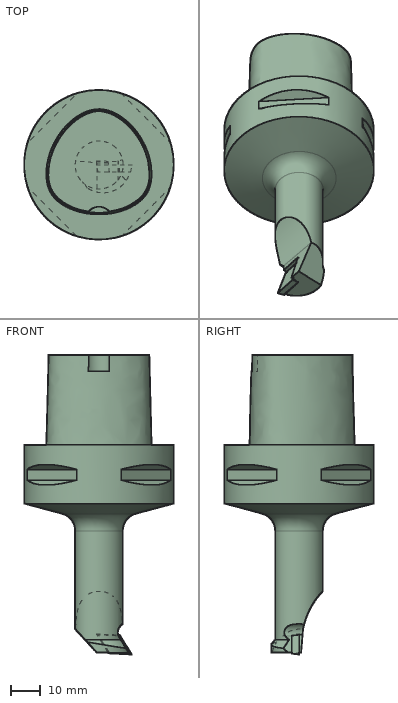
import cadquery as cq
import math

FLANGE_RADIUS = 25.0
FLANGE_HEIGHT = 19.6
CONE_ANGLE = 15.0

SHANK_HEIGHT = 30.0
SHANK_BASE_WIDTH = 35.2
SHANK_TAPER = 1 / 20
LOBE_HEIGHT = 1.0
OUTLINE_POINTS = 48

NOTCH_RADIUS = 4.4
NOTCH_DEPTH = 5.5
NOTCH_INNER_Y = -14.0

GROOVE_COUNT = 4
FIRST_GROOVE_ANGLE = 45.0
GROOVE_FLOOR_DISTANCE = 22.1
GROOVE_FLOOR_HEIGHT = 3.5
GROOVE_WALL_ANGLE = 30.0
GROOVE_Z = -10.0

NECK_RADIUS = 8.0
NECK_FILLET = 5.8

FLARE_TOP_Z = -65.0
HEAD_BOTTOM_Z = -69.3
HEAD_RADIUS = 9.3
HEAD_OFFSET_X = 1.3
FLARE_SLOPE = 1.2

TIP_X = 11.0
TIP_Z = -70.0
INSERT_SIDE = 7.8
INSERT_THICKNESS = 2.4
INSERT_TIP_ANGLE = 55.0
INSERT_LEAD_ANGLE = 3.0
INSERT_RELIEF = 7.0

RAKE_START = (8.0, -48.8)
RAKE_MIDDLE = (4.0, -54.2)
RAKE_ARC_END = (1.4, -61.3)
RAKE_BOTTOM_Y = 0.6

BACK_TOP = (-NECK_RADIUS, -61.4)
BACK_BOTTOM_X = 0.8

HOLLOW_TOP = (8.1, -59.7)
HOLLOW_MIDDLE = (6.4, -62.0)
HOLLOW_END = (6.5, -63.7)
EDGE_BOTTOM_X = 10.9

CUT_BOTTOM_Z = TIP_Z - 1.0
CUT_REACH = 30.0


def shank_outline(width):
    """Points of a constant-width, three-lobed outline with one lobe toward +Y."""
    points = []
    for i in range(OUTLINE_POINTS):
        angle = 2 * math.pi * i / OUTLINE_POINTS
        lobe_angle = 3 * (angle - math.pi / 2)
        distance = width / 2 + LOBE_HEIGHT * math.cos(lobe_angle)
        slope = -3 * LOBE_HEIGHT * math.sin(lobe_angle)
        x = distance * math.cos(angle) - slope * math.sin(angle)
        y = distance * math.sin(angle) + slope * math.cos(angle)
        points.append((x, y))
    return points


def make_shank():
    top_width = SHANK_BASE_WIDTH - SHANK_TAPER * SHANK_HEIGHT
    shank = (
        cq.Workplane("XY")
        .spline(shank_outline(SHANK_BASE_WIDTH), periodic=True)
        .close()
        .workplane(offset=SHANK_HEIGHT)
        .spline(shank_outline(top_width), periodic=True)
        .close()
        .loft(ruled=True)
    )
    notch = (
        cq.Workplane("XY", origin=(0, NOTCH_INNER_Y - NOTCH_RADIUS, SHANK_HEIGHT))
        .circle(NOTCH_RADIUS)
        .extrude(-NOTCH_DEPTH)
    )
    return shank.cut(notch)


def make_flange_and_neck():
    """Flange, cone, neck fillet and neck as one turned profile."""
    cone_slope = math.radians(CONE_ANGLE)
    cone_end_z = -FLANGE_HEIGHT - (FLANGE_RADIUS - NECK_RADIUS) * math.tan(cone_slope)
    tangent_length = NECK_FILLET * math.tan((math.pi / 2 - cone_slope) / 2)
    fillet_bottom_z = cone_end_z - tangent_length
    fillet_top = (
        NECK_RADIUS + tangent_length * math.cos(cone_slope),
        cone_end_z + tangent_length * math.sin(cone_slope),
    )
    middle_angle = (math.pi / 2 - cone_slope) / 2
    fillet_middle = (
        NECK_RADIUS + NECK_FILLET * (1 - math.cos(middle_angle)),
        fillet_bottom_z + NECK_FILLET * math.sin(middle_angle),
    )
    return (
        cq.Workplane("XZ")
        .moveTo(0, 0)
        .lineTo(FLANGE_RADIUS, 0)
        .lineTo(FLANGE_RADIUS, -FLANGE_HEIGHT)
        .lineTo(*fillet_top)
        .threePointArc(fillet_middle, (NECK_RADIUS, fillet_bottom_z))
        .lineTo(NECK_RADIUS, FLARE_TOP_Z)
        .lineTo(0, FLARE_TOP_Z)
        .close()
        .revolve(360, (0, 0, 0), (0, 1, 0))
    )


def make_head():
    """Cone that widens downward, trimmed by the eccentric cylinder."""
    head_height = FLARE_TOP_Z - HEAD_BOTTOM_Z
    flare = (
        cq.Workplane("XY", origin=(0, 0, FLARE_TOP_Z))
        .circle(NECK_RADIUS)
        .workplane(offset=-head_height)
        .circle(NECK_RADIUS + head_height / FLARE_SLOPE)
        .loft()
    )
    limit = (
        cq.Workplane("XY", origin=(HEAD_OFFSET_X, 0, HEAD_BOTTOM_Z))
        .circle(HEAD_RADIUS)
        .extrude(head_height)
    )
    return flare.intersect(limit)


def make_gripper_groove(angle):
    depth = CUT_REACH - GROOVE_FLOOR_DISTANCE
    half_floor = GROOVE_FLOOR_HEIGHT / 2
    half_mouth = half_floor + depth * math.tan(math.radians(GROOVE_WALL_ANGLE))
    groove = (
        cq.Workplane("XZ")
        .moveTo(GROOVE_FLOOR_DISTANCE, GROOVE_Z - half_floor)
        .lineTo(CUT_REACH, GROOVE_Z - half_mouth)
        .lineTo(CUT_REACH, GROOVE_Z + half_mouth)
        .lineTo(GROOVE_FLOOR_DISTANCE, GROOVE_Z + half_floor)
        .close()
        .extrude(CUT_REACH, both=True)
    )
    return groove.rotate((0, 0, 0), (0, 0, 1), angle)


def make_rake_cut():
    """Clearance on the +Y side: a curved run-out above a nearly upright face."""
    return (
        cq.Workplane("YZ")
        .moveTo(*RAKE_START)
        .threePointArc(RAKE_MIDDLE, RAKE_ARC_END)
        .lineTo(RAKE_BOTTOM_Y, CUT_BOTTOM_Z)
        .lineTo(CUT_REACH, CUT_BOTTOM_Z)
        .lineTo(CUT_REACH, RAKE_START[1])
        .close()
        .extrude(CUT_REACH, both=True)
    )


def make_back_cut():
    """Slanted clearance on the -X side of the head."""
    return (
        cq.Workplane("XZ")
        .moveTo(*BACK_TOP)
        .lineTo(BACK_BOTTOM_X, CUT_BOTTOM_Z)
        .lineTo(-CUT_REACH, CUT_BOTTOM_Z)
        .lineTo(-CUT_REACH, BACK_TOP[1])
        .close()
        .extrude(CUT_REACH, both=True)
    )


def make_edge_cut():
    """Chip clearance on the +X side, with a hollow above the slanted edge."""
    return (
        cq.Workplane("XZ")
        .moveTo(*HOLLOW_TOP)
        .threePointArc(HOLLOW_MIDDLE, HOLLOW_END)
        .lineTo(EDGE_BOTTOM_X, CUT_BOTTOM_Z)
        .lineTo(CUT_REACH, CUT_BOTTOM_Z)
        .lineTo(CUT_REACH, HOLLOW_TOP[1])
        .close()
        .extrude(CUT_REACH, both=True)
    )


def insert_outline():
    """Rhombus in the XZ plane at Y = 0 with its cutting tip at the lower right."""
    lead = math.radians(INSERT_LEAD_ANGLE)
    side = math.radians(INSERT_LEAD_ANGLE + INSERT_TIP_ANGLE)
    low_x = -INSERT_SIDE * math.cos(lead)
    low_z = INSERT_SIDE * math.sin(lead)
    high_x = -INSERT_SIDE * math.cos(side)
    high_z = INSERT_SIDE * math.sin(side)
    corners = [
        (TIP_X, TIP_Z),
        (TIP_X + low_x, TIP_Z + low_z),
        (TIP_X + low_x + high_x, TIP_Z + low_z + high_z),
        (TIP_X + high_x, TIP_Z + high_z),
    ]
    return cq.Workplane("XZ").polyline(corners).close()


def make_insert():
    return insert_outline().extrude(INSERT_THICKNESS, taper=INSERT_RELIEF)


def make_holder(insert):
    holder = make_flange_and_neck().union(make_shank()).union(make_head())
    for i in range(GROOVE_COUNT):
        holder = holder.cut(make_gripper_groove(FIRST_GROOVE_ANGLE + i * 360 / GROOVE_COUNT))
    holder = holder.cut(make_rake_cut()).cut(make_back_cut()).cut(make_edge_cut())
    space_above_insert = insert_outline().extrude(-CUT_REACH)
    return holder.cut(insert).cut(space_above_insert)


insert = make_insert()
holder = make_holder(insert)

result = cq.Compound.makeCompound([holder.solids().val(), insert.val()])